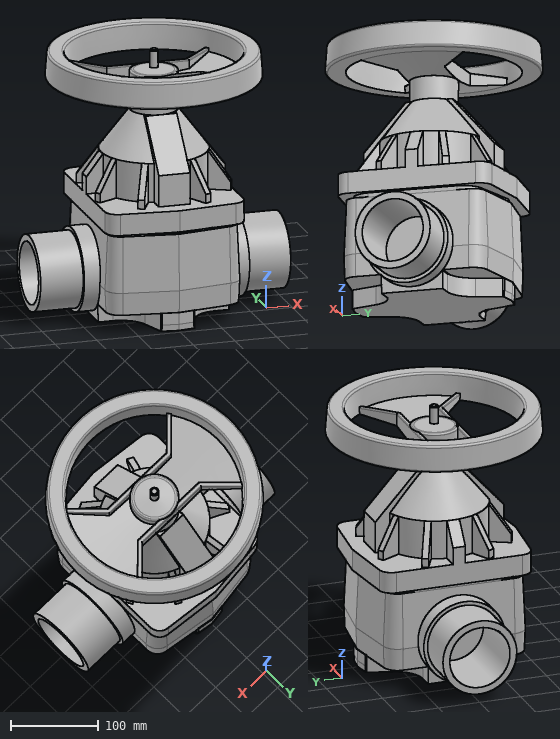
import cadquery as cq
import math

BODY_MID_Z = 49.0
BODY_TOP_Z = 115.5
BODY_RIDGE_ANGLE = 8.5
BODY_SIDE_HALF = 68.0
BODY_OFFSET_Y = -0.5
BODY_BOTTOM = (78.5, 94.0)
BODY_MID = (80.5, 96.3)
BODY_TOP = (77.5, 93.2)

SEAT_TOP_Z = 120.2
SEAT_HALF = (77.5, 90.0)
SEAT_RIDGE_ANGLE = 12.7
SEAT_SIDE_HALF = 53.5

FOOT_HEIGHT = 22.0
FOOT_TAPER_Z = 8.0
FOOT_SIDE_HALF = 37.0
FOOT_TIP_HALF = 20.0
FOOT_ROOT_HALF = 37.2
FOOT_FILLET = 32.8
FOOT_CHAMFER = 1.2

PIPE_Z = 54.8
PIPE_END_X = 300.0 / 2
PIPE_DIAMETER = 90.0
COLLAR_END_X = 99.0
COLLAR_DIAMETER = 99.5
BORE_DIAMETER = 73.5
BORE_END_X = 62.0

FLANGE_TOP_Z = 145.5
FLANGE_HALF = (83.3, 99.7)
FLANGE_RIDGE_ANGLE = 6.0
FLANGE_SIDE_HALF = 76.8

NECK_DIAMETER = 56.0
NECK_RADIUS = NECK_DIAMETER / 2
NECK_TOP_Z = 266.0
CONE_TOP_Z = 239.0
CONE_BOTTOM_Z = 192.0
DRUM_RADIUS = 63.5

RIB_WIDTH = 7.7
RIB_REACH = 89.5
RIB_TIP_Z = 156.0
RIB_ANGLE = 26.7
SIDE_RIB_WIDTH = 15.2
SIDE_RIB_TIP_Z = 166.0
BLOCK_WIDTH = 37.5
BLOCK_REACH = 78.7
BLOCK_TIP_Z = 183.0

RIM_BOTTOM_Z = 276.5
RIM_TOP_Z = 308.5
RIM_OUTER_BOTTOM = 250.0 / 2
RIM_OUTER_TOP = 122.5
RIM_INNER_BOTTOM = 101.0
RIM_INNER_TOP = 103.0
RIM_FILLET = 2.5

WEB_THICKNESS = 4.3
WEB_SLOPE = 0.143
WEB_RADIUS = 102.2
WAIST_HALF = 28.2
WAIST_LENGTH_HALF = 47.5
SPOKE_EDGE_ANGLE = 45.0
WALL_THICKNESS = 5.3
WALL_TOP_Z = 285.0
WALL_FILLET = 1.0
HUB_TOP_Z = 286.0
HUB_FILLET = 2.2
HUB_CONE_DIAMETER = 47.0
HUB_CONE_RISE = 2.5
PIN_DIAMETER = 10.0
PIN_TOP_Z = 309.7
PIN_CHAMFER = 1.5


def ridged_section(z, half_size, ridge_angle, side_half):
    """Closed outline with straight sides, front and back ridges at X = 0, and rounded corners."""
    half_width, ridge = half_size
    slope = math.radians(ridge_angle)
    corner_y = ridge - half_width * math.tan(slope)
    setback = corner_y - side_half
    shoulder_x = half_width - setback * math.cos(slope)
    shoulder_y = corner_y + setback * math.sin(slope)
    half_turn = (math.pi / 2 - slope) / 2
    radius = setback / math.tan(half_turn)
    mid_x = half_width - radius + radius * math.cos(half_turn)
    mid_y = side_half + radius * math.sin(half_turn)
    return (
        cq.Workplane("XY", origin=(0, 0, z))
        .moveTo(half_width, -side_half)
        .lineTo(half_width, side_half)
        .threePointArc((mid_x, mid_y), (shoulder_x, shoulder_y))
        .lineTo(0, ridge)
        .lineTo(-shoulder_x, shoulder_y)
        .threePointArc((-mid_x, mid_y), (-half_width, side_half))
        .lineTo(-half_width, -side_half)
        .threePointArc((-mid_x, -mid_y), (-shoulder_x, -shoulder_y))
        .lineTo(0, -ridge)
        .lineTo(shoulder_x, -shoulder_y)
        .threePointArc((mid_x, -mid_y), (half_width, -side_half))
        .close()
    )


def x_cylinder(diameter, start_x, end_x):
    """Cylinder on the pipe axis."""
    return (
        cq.Workplane("YZ", origin=(start_x, 0, PIPE_Z))
        .circle(diameter / 2)
        .extrude(end_x - start_x)
    )


def make_foot():
    """Cross with flared Y arms, ridged Y tips and rounded inner corners."""
    reach_x = BODY_MID[0]
    ridge = BODY_BOTTOM[1] + (BODY_MID[1] - BODY_BOTTOM[1]) * FOOT_TAPER_Z / BODY_MID_Z
    tip_y = ridge - FOOT_TIP_HALF * math.tan(math.radians(BODY_RIDGE_ANGLE))
    quarter = [(reach_x, FOOT_SIDE_HALF), (FOOT_ROOT_HALF, FOOT_SIDE_HALF), (FOOT_TIP_HALF, tip_y)]
    upper = quarter + [(0, ridge)] + [(-x, y) for x, y in reversed(quarter)]
    outline = upper + [(-x, -y) for x, y in upper]
    foot = cq.Workplane("XY").polyline(outline).close().extrude(FOOT_HEIGHT)
    inner_half = FOOT_ROOT_HALF + FOOT_TIP_HALF / 2
    inner_corners = cq.selectors.BoxSelector(
        (-inner_half, -inner_half, 0), (inner_half, inner_half, FOOT_HEIGHT)
    )
    foot = foot.edges("|Z").edges(inner_corners).fillet(FOOT_FILLET)
    for x in (-FOOT_TIP_HALF, FOOT_TIP_HALF):
        for y in (-tip_y, tip_y):
            tip_corner = cq.selectors.NearestToPointSelector((x, y, FOOT_HEIGHT / 2))
            foot = foot.edges("|Z").edges(tip_corner).chamfer(FOOT_CHAMFER)
    return foot


def make_body():
    """Ridged housing with a crossed foot, a seat for the bonnet and two pipe ends."""
    bottom, middle, top = (
        ridged_section(z, half_size, BODY_RIDGE_ANGLE, BODY_SIDE_HALF).wires().val()
        for z, half_size in ((0, BODY_BOTTOM), (BODY_MID_Z, BODY_MID), (BODY_TOP_Z, BODY_TOP))
    )
    lower = cq.Workplane(cq.Solid.makeLoft([bottom, middle], True))
    upper = cq.Workplane(cq.Solid.makeLoft([middle, top], True))

    recesses = cq.Workplane("XY").rect(4 * BODY_MID[0], 4 * BODY_MID[1]).extrude(FOOT_HEIGHT)
    body = lower.cut(recesses.cut(make_foot())).union(upper)

    seat = ridged_section(BODY_TOP_Z, SEAT_HALF, SEAT_RIDGE_ANGLE, SEAT_SIDE_HALF)
    body = body.union(seat.extrude(SEAT_TOP_Z - BODY_TOP_Z))

    body = body.union(x_cylinder(COLLAR_DIAMETER, -COLLAR_END_X, COLLAR_END_X))
    body = body.union(x_cylinder(PIPE_DIAMETER, -PIPE_END_X, PIPE_END_X))
    for side in (-1, 1):
        body = body.cut(x_cylinder(BORE_DIAMETER, side * BORE_END_X, side * PIPE_END_X))
    return body.translate((0, BODY_OFFSET_Y, 0))


def gusset(width, reach, tip_z, top_radius, top_z, angle):
    """Upright plate from the bonnet axis outward, with a top edge that slopes down to its tip."""
    return (
        cq.Workplane("XZ")
        .moveTo(0, FLANGE_TOP_Z)
        .lineTo(reach, FLANGE_TOP_Z)
        .lineTo(reach, tip_z)
        .lineTo(top_radius, top_z)
        .lineTo(0, top_z)
        .close()
        .extrude(width / 2, both=True)
        .rotate((0, 0, 0), (0, 0, 1), angle)
    )


def make_bonnet():
    """Flange with a drum, cone and neck, stiffened by ribs and two blocks."""
    flange = ridged_section(SEAT_TOP_Z, FLANGE_HALF, FLANGE_RIDGE_ANGLE, FLANGE_SIDE_HALF)
    dome = (
        cq.Workplane("XZ")
        .moveTo(0, FLANGE_TOP_Z)
        .lineTo(DRUM_RADIUS, FLANGE_TOP_Z)
        .lineTo(DRUM_RADIUS, CONE_BOTTOM_Z)
        .lineTo(NECK_RADIUS, CONE_TOP_Z)
        .lineTo(NECK_RADIUS, NECK_TOP_Z)
        .lineTo(0, NECK_TOP_Z)
        .close()
        .revolve(360, (0, 0), (0, 1))
    )
    bonnet = flange.extrude(FLANGE_TOP_Z - SEAT_TOP_Z).union(dome)
    for axis_angle in (0, 90, 180, 270):
        for lean in (-RIB_ANGLE, RIB_ANGLE):
            angle = axis_angle + lean
            rib = gusset(RIB_WIDTH, RIB_REACH, RIB_TIP_Z, DRUM_RADIUS, CONE_BOTTOM_Z, angle)
            bonnet = bonnet.union(rib)
    for angle in (0, 180):
        side_rib = gusset(
            SIDE_RIB_WIDTH, FLANGE_HALF[0], SIDE_RIB_TIP_Z, DRUM_RADIUS, CONE_BOTTOM_Z, angle
        )
        bonnet = bonnet.union(side_rib)
    for angle in (90, 270):
        block = gusset(BLOCK_WIDTH, BLOCK_REACH, BLOCK_TIP_Z, NECK_RADIUS, CONE_TOP_Z, angle)
        bonnet = bonnet.union(block)
    return bonnet


def spoke_outline(inset):
    """Prism of the two spokes: a narrow waist beside the hub, widening toward the rim."""
    half_turn = math.radians(SPOKE_EDGE_ANGLE / 2)
    waist = WAIST_HALF - inset
    kink_x = WAIST_LENGTH_HALF + inset * math.tan(half_turn)
    run = RIM_OUTER_BOTTOM - kink_x
    end_y = waist + run * math.tan(math.radians(SPOKE_EDGE_ANGLE))
    upper = [(RIM_OUTER_BOTTOM, end_y), (kink_x, waist), (-kink_x, waist), (-RIM_OUTER_BOTTOM, end_y)]
    outline = upper + [(-x, -y) for x, y in upper]
    return (
        cq.Workplane("XY", origin=(0, 0, NECK_TOP_Z))
        .polyline(outline)
        .close()
        .extrude(WALL_TOP_Z - NECK_TOP_Z)
    )


def above_cone(start_z):
    """Space up to the wall tops, above a shallow cone that starts at the neck."""
    return (
        cq.Workplane("XZ")
        .moveTo(0, start_z)
        .lineTo(NECK_RADIUS, start_z)
        .lineTo(WEB_RADIUS, start_z + WEB_SLOPE * (WEB_RADIUS - NECK_RADIUS))
        .lineTo(WEB_RADIUS, WALL_TOP_Z)
        .lineTo(0, WALL_TOP_Z)
        .close()
        .revolve(360, (0, 0), (0, 1))
    )


def make_spokes():
    """Conical web with an upright wall along each of its free edges."""
    walls_and_web = above_cone(NECK_TOP_Z).intersect(spoke_outline(0))
    trough = above_cone(NECK_TOP_Z + WEB_THICKNESS).intersect(spoke_outline(WALL_THICKNESS))
    spokes = walls_and_web.cut(trough)
    wall_edges = spokes.faces(">Z").edges("not %CIRCLE")
    return wall_edges.fillet(WALL_FILLET)


def make_handwheel():
    """Rim, two broad spokes and a hub that carries the position pin."""
    rim = (
        cq.Workplane("XZ")
        .moveTo(RIM_INNER_BOTTOM, RIM_BOTTOM_Z)
        .lineTo(RIM_OUTER_BOTTOM, RIM_BOTTOM_Z)
        .lineTo(RIM_OUTER_TOP, RIM_TOP_Z)
        .lineTo(RIM_INNER_TOP, RIM_TOP_Z)
        .close()
        .revolve(360, (0, 0), (0, 1))
    )
    rim = rim.faces(">Z").edges().fillet(RIM_FILLET)
    rim = rim.faces("<Z").edges(cq.selectors.RadiusNthSelector(-1)).fillet(RIM_FILLET)
    hub = (
        cq.Workplane("XY", origin=(0, 0, NECK_TOP_Z))
        .circle(NECK_RADIUS)
        .extrude(HUB_TOP_Z - NECK_TOP_Z)
        .faces(">Z")
        .edges()
        .fillet(HUB_FILLET)
    )
    hub_cone = (
        cq.Workplane("XZ")
        .moveTo(0, HUB_TOP_Z)
        .lineTo(HUB_CONE_DIAMETER / 2, HUB_TOP_Z)
        .lineTo(PIN_DIAMETER / 2, HUB_TOP_Z + HUB_CONE_RISE)
        .lineTo(0, HUB_TOP_Z + HUB_CONE_RISE)
        .close()
        .revolve(360, (0, 0), (0, 1))
    )
    pin = (
        cq.Workplane("XY", origin=(0, 0, NECK_TOP_Z))
        .circle(PIN_DIAMETER / 2)
        .extrude(PIN_TOP_Z - NECK_TOP_Z)
        .faces(">Z")
        .chamfer(PIN_CHAMFER)
    )
    return rim.union(make_spokes()).union(hub).union(hub_cone).union(pin)


body = make_body()
bonnet = make_bonnet()
handwheel = make_handwheel()

result = cq.Compound.makeCompound([body.val(), bonnet.val(), handwheel.val()])